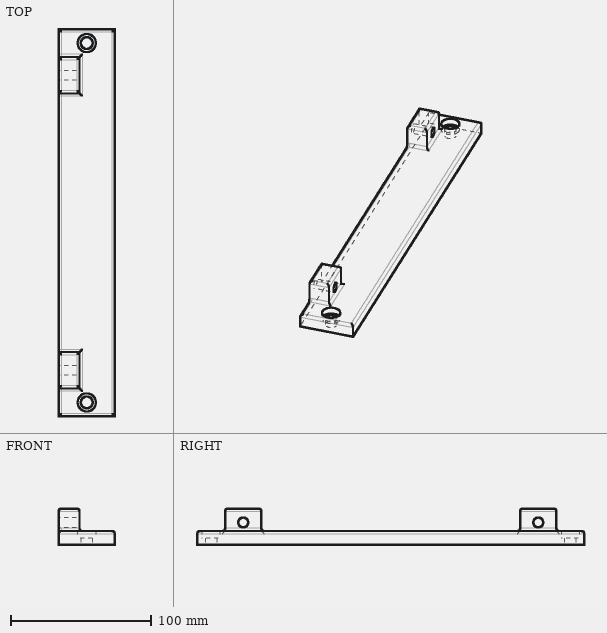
import cadquery as cq

length = 276.5
width = 40.0
plate_thickness = 10.0
edge_radius = 2.0

total_height = 26.0
lug_width = 15.0
lug_length = 26.0
lug_overhang = 2 * edge_radius
lug_end_distance = 33.0
lug_y = length / 2 - lug_end_distance
pin_hole_diameter = 7.0
pin_hole_height = 16.0

screw_hole_diameter = 8.3
counterbore_diameter = 13.0
counterbore_depth = 5.0
screw_end_distance = 10.0
screw_y = length / 2 - screw_end_distance


def block(x_min, x_max, size_y, height, y=0):
    """Block standing on Z = 0 between two X positions, centred on the given Y."""
    return (
        cq.Workplane("XY", origin=(x_min, y, 0))
        .box(x_max - x_min, size_y, height, centered=(False, True, False))
    )


def blend_edges(y):
    """Selector for the edges around the foot of the lug at the given Y."""
    margin = edge_radius / 2
    return cq.selectors.BoxSelector(
        (-margin, y - lug_length / 2 - margin, -margin),
        (lug_width + margin, y + lug_length / 2 + margin, plate_thickness + margin),
        boundingbox=True,
    )


result = block(0, width, length, plate_thickness).faces(">Z").edges().fillet(edge_radius)

for y in (-lug_y, lug_y):
    result = result.union(block(-lug_overhang, lug_width, lug_length, total_height, y))
    result = result.edges(blend_edges(y)).fillet(edge_radius)

result = result.intersect(block(0, width, length, total_height))
result = result.faces(">Z").edges().fillet(edge_radius)

for y in (-lug_y, lug_y):
    pin_hole = (
        cq.Workplane("YZ")
        .center(y, pin_hole_height)
        .circle(pin_hole_diameter / 2)
        .extrude(lug_width)
    )
    result = result.cut(pin_hole)

result = (
    result.copyWorkplane(cq.Workplane("XY", origin=(width / 2, 0, plate_thickness)))
    .pushPoints([(0, -screw_y), (0, screw_y)])
    .cboreHole(screw_hole_diameter, counterbore_diameter, counterbore_depth)
)